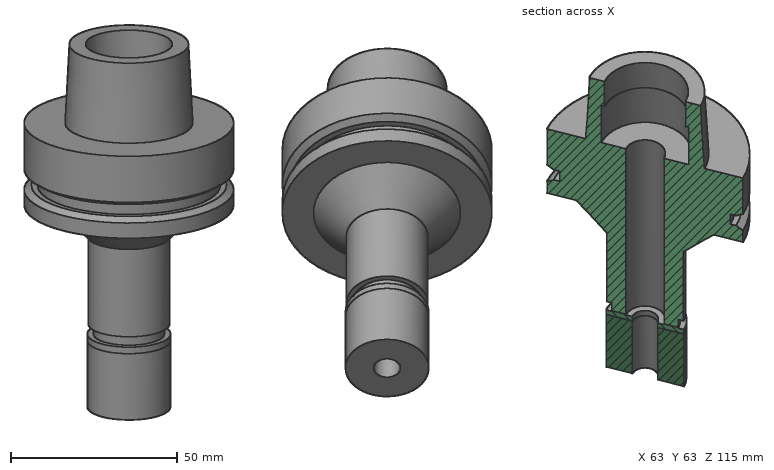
import cadquery as cq

total_height = 115.0
sleeve_top = 21.0
ring_top = 23.1
neck_top = 26.3
shank_top = 54.0
flange_bottom = 64.0
flange_top = 90.0

taper_tip_radius = 17.9
taper_base_radius = 19.2
flange_radius = 31.5

groove_bottom = 70.3
groove_top = 74.1
groove_radius = 27.5
groove_mouth_radius = 29.3
groove_chamfer_height = 1.4

cone_top_radius = 22.1
shank_radius = 12.3
neck_radius = 10.7

entry_radius = 13.0
entry_depth = 10.1
undercut_radius = 14.0
socket_floor = flange_top

holder_bore_radius = 6.1
lower_bore_radius = 4.0
lower_radius = 12.5


def cylinder(radius, bottom, top):
    """Solid cylinder about Z between two heights."""
    return cq.Workplane("XY").workplane(offset=bottom).circle(radius).extrude(top - bottom)


def make_holder():
    """Turned tool holder with a hollow taper, a grooved flange and a shank."""
    outline = [
        (0, ring_top),
        (neck_radius, ring_top),
        (neck_radius, neck_top),
        (shank_radius, neck_top),
        (shank_radius, shank_top),
        (cone_top_radius, flange_bottom),
        (flange_radius, flange_bottom),
        (flange_radius, groove_bottom - groove_chamfer_height),
        (groove_mouth_radius, groove_bottom),
        (groove_radius, groove_bottom),
        (groove_radius, groove_top),
        (groove_mouth_radius, groove_top),
        (flange_radius, groove_top + groove_chamfer_height),
        (flange_radius, flange_top),
        (taper_base_radius, flange_top),
        (taper_tip_radius, total_height),
        (0, total_height),
    ]
    body = cq.Workplane("XZ").polyline(outline).close().revolve(360, (0, 0, 0), (0, 1, 0))
    entry_bottom = total_height - entry_depth
    entry = cylinder(entry_radius, entry_bottom, total_height)
    undercut = cylinder(undercut_radius, socket_floor, entry_bottom)
    bore = cylinder(holder_bore_radius, ring_top, socket_floor)
    return body.cut(entry).cut(undercut).cut(bore)


def make_bored_cylinder(bottom, top):
    """Bored cylinder of the diameters shared by the ring and the sleeve."""
    return cylinder(lower_radius, bottom, top).cut(cylinder(lower_bore_radius, bottom, top))


holder = make_holder()
ring = make_bored_cylinder(sleeve_top, ring_top)
sleeve = make_bored_cylinder(0, sleeve_top)

result = cq.Compound.makeCompound([holder.val(), ring.val(), sleeve.val()])